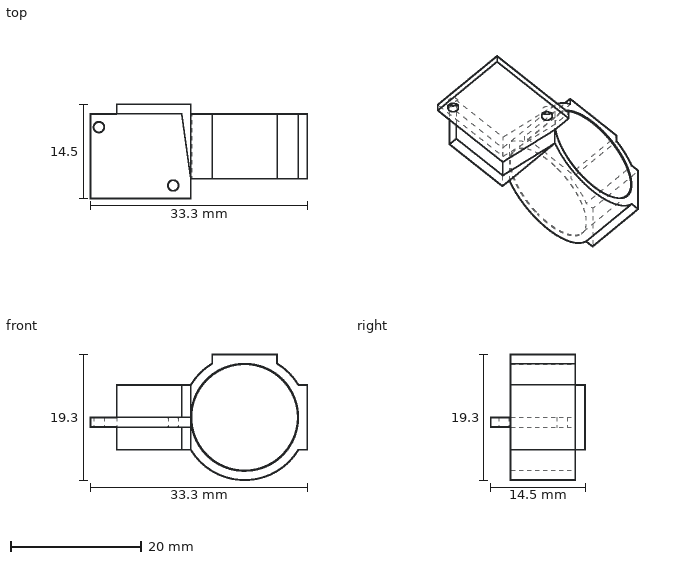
import cadquery as cq
import math

ring_radius = 9.65
bore_radius = 8.15
ring_width = 10.0
mouth_chamfer = 0.1
front_y = -ring_width / 2
back_y = ring_width / 2

pad_width = 10.0

wall_length = 10.0
wall_thickness = 1.5
wall_height = 10.0
mount_end_x = -math.sqrt(ring_radius**2 - (wall_height / 2) ** 2)
plate_overhang = 4.0
plate_thickness = 1.5
plate_front_y = -8.0
wall_start_x = -ring_radius - wall_length
plate_start_x = wall_start_x - plate_overhang

hole_diameter = 1.6
hole_centres = [(-22.35, 2.95), (-10.95, -6.0)]


def box_between(x_range, y_range, z_range):
    """Axis-aligned box spanning the given (low, high) ranges."""
    low, high = zip(x_range, y_range, z_range)
    size = [end - start for start, end in zip(low, high)]
    return cq.Workplane("XY").box(*size, centered=False).translate(low)


def cylinder_along_y(radius):
    """Cylinder across the full width of the ring."""
    return cq.Workplane("XZ", origin=(0, back_y, 0)).circle(radius).extrude(ring_width)


def make_ring_body():
    """Solid disc with a pad on top and a pad on the +X side."""
    half_pad = pad_width / 2
    width_range = (front_y, back_y)
    top_pad = box_between((-half_pad, half_pad), width_range, (0, ring_radius))
    side_pad = box_between((0, ring_radius), width_range, (-half_pad, half_pad))
    return cylinder_along_y(ring_radius).union(top_pad).union(side_pad)


def make_taper_cut():
    """Space in front of the wall, bounded by the slanted face beside the ring."""
    return (
        cq.Workplane("XY", origin=(0, 0, -wall_height / 2))
        .moveTo(wall_start_x, back_y)
        .lineTo(-ring_radius, back_y)
        .lineTo(mount_end_x, front_y)
        .lineTo(wall_start_x, front_y)
        .close()
        .extrude(wall_height)
    )


def make_mount_block():
    """Block that holds the back wall and reaches into the ring."""
    half_height = wall_height / 2
    wall_back_y = back_y + wall_thickness
    x_range = (wall_start_x, mount_end_x)
    return box_between(x_range, (front_y, wall_back_y), (-half_height, half_height))


def make_plate():
    """Horizontal plate with its top face on the ring's mid-plane."""
    x_range = (plate_start_x, mount_end_x)
    plate = box_between(x_range, (plate_front_y, back_y), (-plate_thickness, 0))
    holes = (
        cq.Workplane("XY")
        .pushPoints(hole_centres)
        .circle(hole_diameter / 2)
        .extrude(-plate_thickness)
    )
    return plate.cut(holes)


def make_bore():
    """Through bore widened by a small chamfer at each mouth."""
    front_mouth = (
        cq.Workplane("XZ", origin=(0, front_y, 0))
        .circle(bore_radius + mouth_chamfer)
        .workplane(offset=-mouth_chamfer)
        .circle(bore_radius)
        .loft()
    )
    back_mouth = front_mouth.mirror("XZ")
    return cylinder_along_y(bore_radius).union(front_mouth).union(back_mouth)


body = make_ring_body().union(make_mount_block()).cut(make_taper_cut())
result = body.union(make_plate()).cut(make_bore())